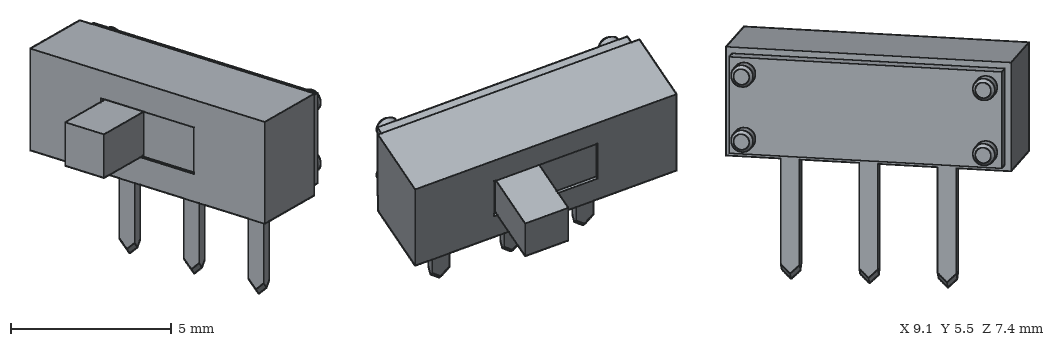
import cadquery as cq

body_width = 9.1
body_depth = 2.6
body_height = 3.5

plate_width = 8.7
plate_height = 3.1
plate_thickness = 0.45
peg_diameter = 0.7
peg_length = 0.455
peg_chamfer = 0.1
peg_spacing_x = 7.72
peg_spacing_z = 2.09

window_width = 3.6
window_height = 1.6
window_depth = 0.1
lever_size = 1.5
lever_reach = 1.99
lever_side_gap = 0.09

pin_count = 3
pin_pitch = 2.5
pin_width = 0.6
pin_thickness = 0.3
pin_length = 3.895
tip_side_rise = 0.29
tip_face_rise = 0.21
tip_height = tip_side_rise + tip_face_rise
tip_land_scale = 0.005


def box(width, depth, height, x, y, z=0):
    """Box centred on x and z, with its front face at y."""
    return cq.Workplane("XY").box(width, depth, height, centered=(True, False, True)).translate((x, y, z))


def make_housing():
    body = box(body_width, body_depth, body_height, 0, 0)
    window = box(window_width, window_depth, window_height, 0, 0)
    plate = box(plate_width, plate_thickness, plate_height, 0, body_depth)
    return body.cut(window).union(plate)


def make_lever():
    lever_x = -window_width / 2 + lever_side_gap + lever_size / 2
    return box(lever_size, lever_reach + window_depth, lever_size, lever_x, -lever_reach)


def make_pegs():
    plate_back = body_depth + plate_thickness
    return (
        cq.Workplane("XZ", origin=(0, plate_back, 0))
        .rarray(peg_spacing_x, peg_spacing_z, 2, 2)
        .circle(peg_diameter / 2)
        .extrude(-peg_length)
        .faces(">Y")
        .edges()
        .chamfer(peg_chamfer)
    )


def rhombus(plane, half_width, half_depth):
    """Rhombus with its corners on the axes of the workplane."""
    corners = [(half_width, 0), (0, half_depth), (-half_width, 0), (0, -half_depth)]
    return plane.polyline(corners).close()


def make_pin(x):
    """Flat pin, flush with the housing back, its end cut to a point by four oblique facets."""
    pin_top = -body_height / 2
    pin_bottom = pin_top - pin_length
    pin_y = body_depth - pin_thickness
    shank_length = pin_length - tip_height
    shank = box(pin_width, pin_thickness, shank_length, x, pin_y, pin_top - shank_length / 2)

    half_width = pin_width / 2 * tip_height / tip_side_rise
    half_depth = pin_thickness / 2 * tip_height / tip_face_rise
    point = cq.Workplane("XY", origin=(x, pin_y + pin_thickness / 2, pin_bottom))
    land = rhombus(point, half_width * tip_land_scale, half_depth * tip_land_scale)
    pyramid = rhombus(land.workplane(offset=tip_height), half_width, half_depth).loft(ruled=True)
    block = box(pin_width, pin_thickness, tip_height, x, pin_y, pin_bottom + tip_height / 2)
    return shank.union(block.intersect(pyramid))


result = make_housing().union(make_lever()).union(make_pegs())
for index in range(pin_count):
    result = result.union(make_pin((index - (pin_count - 1) / 2) * pin_pitch))